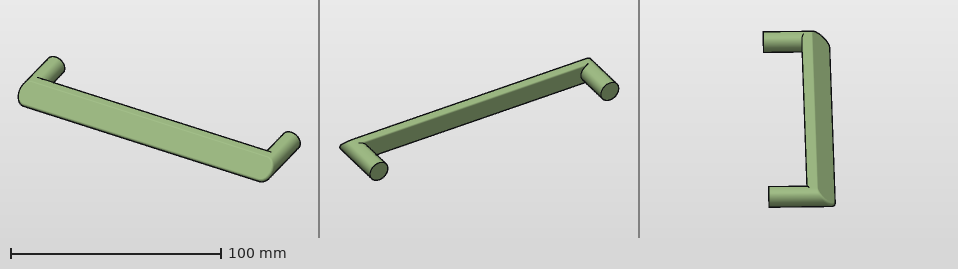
import cadquery as cq
import math

length = 138.0
depth = 31.6
height = 10.0

face_angle = 45.0
front_round = 1.1
back_round = 1.0
grip_depth = 13.2

leg_radius = height / 2
leg_spacing = length - height
slope_run = height / math.tan(math.radians(face_angle))
tip_loss = 1 / math.tan(math.radians(face_angle / 2)) - 1
sharp_tip_y = -front_round * tip_loss


def make_leg(x):
    """Round leg running from the sharp tip to the mounting end."""
    return (
        cq.Workplane("XZ", origin=(x, sharp_tip_y, 0))
        .circle(leg_radius)
        .extrude(-(depth - sharp_tip_y))
    )


def make_grip():
    """Bar between the leg axes with a slanted front and an upright back."""
    bar = (
        cq.Workplane("YZ", origin=(-leg_spacing / 2, 0, 0))
        .moveTo(sharp_tip_y, -leg_radius)
        .lineTo(sharp_tip_y + slope_run, leg_radius)
        .lineTo(grip_depth, leg_radius)
        .lineTo(grip_depth, -leg_radius)
        .close()
        .extrude(leg_spacing)
    )
    return bar.edges("|X").edges(">Y and >Z").fillet(back_round)


def make_front_wedge():
    """Material in front of the slanted face, across the whole part."""
    return (
        cq.Workplane("YZ", origin=(-length / 2, 0, 0))
        .moveTo(sharp_tip_y, -leg_radius)
        .lineTo(sharp_tip_y + slope_run, leg_radius)
        .lineTo(sharp_tip_y, leg_radius)
        .close()
        .extrude(length)
    )


legs = make_leg(-leg_spacing / 2).union(make_leg(leg_spacing / 2))
handle = legs.cut(make_front_wedge()).union(make_grip()).clean()

face_normal = cq.Vector(
    0, -math.sin(math.radians(face_angle)), math.cos(math.radians(face_angle))
)
front_face = handle.faces(cq.selectors.DirectionMinMaxSelector(face_normal, True))
result = front_face.edges().fillet(front_round)